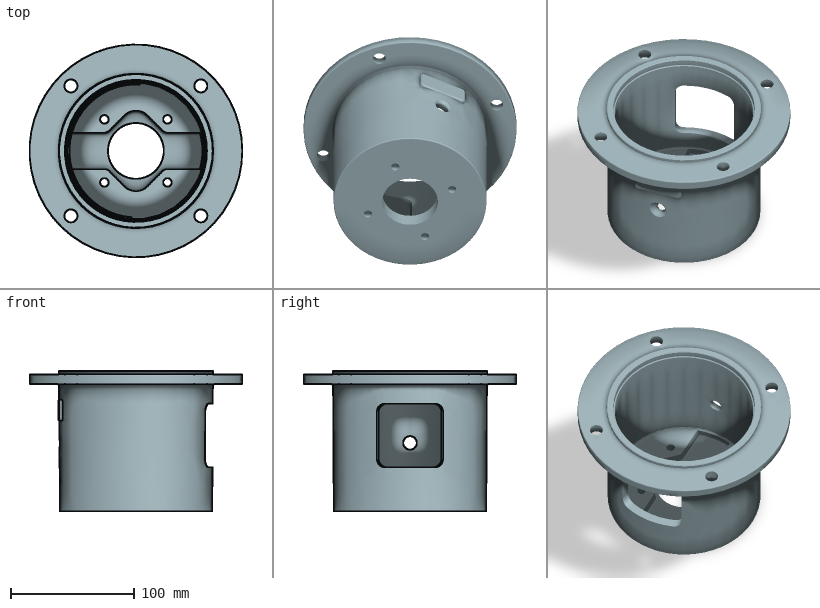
import cadquery as cq
import math

total_height = 114.3
register_height = 3.1
flange_thickness = 8.0
flange_top = total_height - register_height
flange_bottom = flange_top - flange_thickness

flange_radius = 86.5
flange_edge_round = 1.0
barrel_top_radius = 62.6
register_radius = 62.8
barrel_bottom_radius = 62.1
barrel_bottom_round = 0.9
flange_root_fillet = 1.5
register_chamfer = 0.5

counterbore_radius = 57.3
counterbore_depth = 5.2
counterbore_chamfer = 0.5
bore_edge_chamfer = 0.5
chamfer_angle = 45.0
bore_top_radius = 56.2
bore_draft_angle = 0.6
pad_height = 19.9
channel_depth = 7.0
channel_floor_height = pad_height - channel_depth
floor_fillet = 1.4

channel_half_width = 14.9
diamond_reach = 38.0
diamond_tip_radius = 13.0
diamond_corner_radius = 4.8
channel_wall_draft = 10.0

pilot_diameter = 45.1
flange_hole_diameter = 10.4
flange_hole_offset = 52.8
pad_hole_diameter = 6.7
pad_hole_offset = 25.6
side_hole_diameter = 10.9
side_hole_countersink = 15.5
side_hole_height = 55.5
countersink_half_angle = 45.0

window_width = 54.0
window_side_angle = 12.0
window_bottom = 35.8
window_top = 87.3
window_corner_radius = 7.0

plate_width = 39.8
plate_height = 17.1
plate_middle_height = 82.0
plate_face_distance = 63.1
plate_corner_radius = 3.1
plate_edge_chamfer = 1.0


def bore_radius(height):
    """Radius of the drafted bore at a given height."""
    drop = total_height - counterbore_depth - height
    return bore_top_radius - drop * math.tan(math.radians(bore_draft_angle))


def square_of_holes(diameter, offset):
    """Four vertical through holes at the corners of a square."""
    corners = [(sx * offset, sy * offset) for sx in (-1, 1) for sy in (-1, 1)]
    return cq.Workplane("XY").pushPoints(corners).circle(diameter / 2).extrude(total_height)


def make_body():
    """Solid tapered barrel with a raised register and a round flange."""
    flange = (
        cq.Workplane("XY", origin=(0, 0, flange_bottom))
        .circle(flange_radius)
        .extrude(flange_thickness)
        .edges()
        .fillet(flange_edge_round)
    )
    root_radius = barrel_top_radius + flange_root_fillet
    root_height = flange_bottom - flange_root_fillet
    arc_inset = flange_root_fillet * (1 - math.sqrt(0.5))
    barrel = (
        cq.Workplane("XZ")
        .lineTo(barrel_bottom_radius, 0)
        .lineTo(barrel_top_radius, root_height)
        .threePointArc(
            (barrel_top_radius + arc_inset, flange_bottom - arc_inset),
            (root_radius, flange_bottom),
        )
        .lineTo(root_radius, flange_top)
        .lineTo(register_radius, flange_top)
        .lineTo(register_radius, total_height)
        .lineTo(0, total_height)
        .close()
        .revolve(360, (0, 0, 0), (0, 1, 0))
    )
    barrel = barrel.faces("<Z").edges().fillet(barrel_bottom_round)
    barrel = barrel.faces(">Z").edges().chamfer(register_chamfer)
    return barrel.union(flange)


def bore_cone(floor):
    """Drafted bore from the given floor up to the counterbore."""
    top = total_height - counterbore_depth
    return (
        cq.Workplane("XY", origin=(0, 0, floor))
        .circle(bore_radius(floor))
        .workplane(offset=top - floor)
        .circle(bore_top_radius)
        .loft()
    )


def make_channel():
    """Tapered channel across the floor, widened to a diamond round the pilot hole."""
    pad_plane = cq.Workplane("XY", origin=(0, 0, pad_height))
    shoulder = diamond_reach - channel_half_width
    bar = pad_plane.rect(2 * flange_radius, 2 * channel_half_width).extrude(-channel_depth)
    diamond = (
        pad_plane.moveTo(diamond_reach, 0)
        .lineTo(0, diamond_reach)
        .lineTo(-diamond_reach, 0)
        .lineTo(0, -diamond_reach)
        .close()
        .extrude(-channel_depth)
        .edges("|Z and (>Y or <Y)")
        .fillet(diamond_tip_radius)
    )
    margin = diamond_corner_radius / 2
    inner_corners = cq.selectors.BoxSelector(
        (-shoulder - margin, -channel_half_width - margin, 0),
        (shoulder + margin, channel_half_width + margin, pad_height),
    )
    straight_walled = bar.union(diamond).edges("|Z").edges(inner_corners).fillet(diamond_corner_radius)
    outline = straight_walled.faces(">Z").wires().vals()
    return pad_plane.add(outline).toPending().extrude(-channel_depth, taper=channel_wall_draft)


def make_cavity():
    """Counterbore, drafted bore and the channel sunk between the bolt pads."""
    channel = make_channel().intersect(bore_cone(channel_floor_height))
    channel = channel.faces("<Z").edges().fillet(floor_fillet)
    bore = bore_cone(pad_height).faces("<Z").edges().fillet(floor_fillet)
    counterbore = (
        cq.Workplane("XY", origin=(0, 0, total_height))
        .circle(counterbore_radius)
        .extrude(-counterbore_depth)
    )
    entry = (
        cq.Workplane("XY", origin=(0, 0, total_height))
        .circle(counterbore_radius + counterbore_chamfer)
        .extrude(-counterbore_chamfer, taper=chamfer_angle)
    )
    bore_edge = (
        cq.Workplane("XY", origin=(0, 0, total_height - counterbore_depth))
        .circle(bore_top_radius + bore_edge_chamfer)
        .extrude(-bore_edge_chamfer, taper=chamfer_angle)
    )
    return bore.union(channel).union(counterbore).union(entry).union(bore_edge)


def make_window():
    """Rounded opening through the +X wall, its two sides flaring outwards."""
    rim_half_width = window_width / 2
    rim_distance = math.sqrt(barrel_top_radius**2 - rim_half_width**2)
    inner_distance = rim_distance / 2
    outer_distance = flange_radius
    flare = math.tan(math.radians(window_side_angle))
    inner_half_width = rim_half_width - (rim_distance - inner_distance) * flare
    outer_half_width = rim_half_width + (outer_distance - rim_distance) * flare
    return (
        cq.Workplane("XY", origin=(0, 0, window_bottom))
        .moveTo(inner_distance, -inner_half_width)
        .lineTo(outer_distance, -outer_half_width)
        .lineTo(outer_distance, outer_half_width)
        .lineTo(inner_distance, inner_half_width)
        .close()
        .extrude(window_top - window_bottom)
        .edges("not (|Z or |Y)")
        .fillet(window_corner_radius)
    )


def make_side_hole():
    """Countersunk round hole through the -X wall."""
    countersink_depth = (side_hole_countersink - side_hole_diameter) / 2
    at_rim = cq.Workplane("YZ", origin=(-barrel_top_radius, 0, side_hole_height))
    drill = at_rim.circle(side_hole_diameter / 2).extrude(barrel_top_radius)
    countersink = at_rim.circle(side_hole_countersink / 2).extrude(
        countersink_depth, taper=countersink_half_angle
    )
    return drill.union(countersink)


def make_plate():
    """Raised flat-faced name plate on the -X side."""
    return (
        cq.Workplane("YZ", origin=(-plate_face_distance, 0, plate_middle_height))
        .rect(plate_width, plate_height)
        .extrude(plate_face_distance)
        .edges("|X")
        .fillet(plate_corner_radius)
        .faces("<X")
        .edges()
        .chamfer(plate_edge_chamfer)
    )


pilot_hole = cq.Workplane("XY").circle(pilot_diameter / 2).extrude(total_height)

result = (
    make_body()
    .union(make_plate())
    .cut(make_cavity())
    .cut(make_window())
    .cut(make_side_hole())
    .cut(pilot_hole)
    .cut(square_of_holes(flange_hole_diameter, flange_hole_offset))
    .cut(square_of_holes(pad_hole_diameter, pad_hole_offset))
)